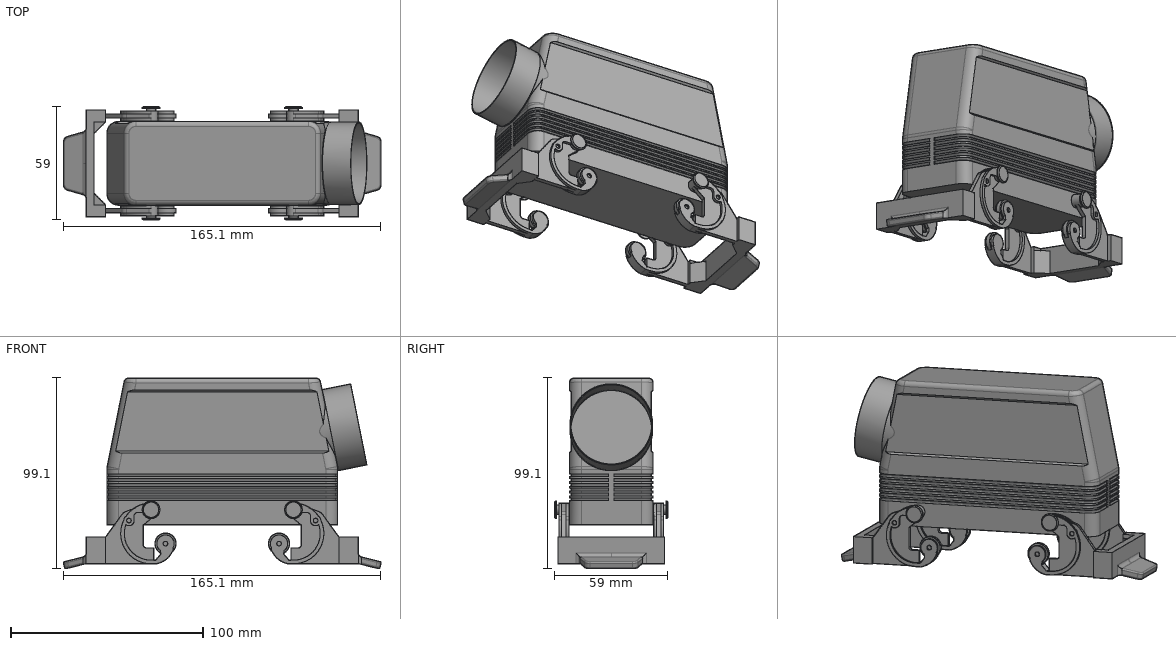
import cadquery as cq
import math


OVERALL_LENGTH = 165.09
OVERALL_WIDTH = 59.0
OVERALL_HEIGHT = 99.1

CLEARANCE = 1.0

HOOD_LENGTH = 120.0
HOOD_WIDTH = 43.6
HOOD_HEIGHT = 76.26
KNEE_HEIGHT = 29.5
END_TILT = 11.3
KNEE_RADIUS = 8.0
CORNER_RADIUS = 6.2
TOP_RADIUS = 2.6

RECESS_BOTTOM = 37.3
RECESS_TOP = 70.0
RECESS_DEPTH = 1.0

GROOVE_COUNT = 6
GROOVE_PITCH = 2.5
GROOVE_HEIGHT = 1.5
GROOVE_DEPTH = 1.0
GROOVE_FILLET = 0.5
GROOVE_START = 12.5
END_STRIP_WIDTH = 3.0

ENTRY_DIAMETER = 43.0
ENTRY_BORE = 42.0
ENTRY_BORE_DEPTH = 15.0
ENTRY_LENGTH = 25.0
ENTRY_STRAIGHT_LENGTH = 15.0
ENTRY_MOUTH_X = 70.95
ENTRY_MOUTH_Z = 52.15
ENTRY_TAPER = 7.0

STIRRUP_OUTER_X = 70.7
STIRRUP_INNER_X = 60.6
STIRRUP_WIDTH = 55.5
STIRRUP_TOP = -6.3
STIRRUP_BOTTOM = -20.3
CROSSBAR_THICKNESS = 4.1
ARM_WIDTH = 6.2
GUSSET_DROP = 2.0

LOWEST_Z = HOOD_HEIGHT - OVERALL_HEIGHT
HANDLE_TILT = 14.0
HANDLE_THICKNESS = 3.8
HANDLE_EDGE_RADIUS = 0.8
HANDLE_CORNER_RADIUS = 3.0
HANDLE_ROOT_HALF = 16.7
HANDLE_TIP_HALF = 13.4
HANDLE_ROOT_RADIUS = 2.2

LEVER_CENTER_Y = 24.6
LEVER_THICKNESS = 5.3
PLATE_THICKNESS = 2.3
PIN = (-37.0, 7.8)
HOOK_RADIUS = 15.8
HOOK_CENTER = (PIN[0], STIRRUP_BOTTOM + HOOK_RADIUS)
HOOK_BORE_RADIUS = 13.9
EAR_RADIUS = HOOK_CENTER[1] + HOOK_RADIUS - PIN[1]
ARM_DROP = 1.4
LUG = (-48.5, 2.2)
LUG_RADIUS = 2.7
LUG_FILLET = 1.8
HEAD = (-29.5, -9.8)
HEAD_RADIUS = 4.5
ROLLER_RADIUS = 5.5
NECK_INNER_X = -34.7
NECK_THROAT_LOW = (-32.0, -15.3)
NECK_THROAT_HIGH = (-32.2, -13.2)
NECK_OUTER_X = -34.0
NECK_OUTER_MIDDLE = (-28.9, -17.8)
NECK_OUTER_END = (-25.3, -12.4)
RIVET_HOLE_RADIUS = 1.2
RIVET_HOLE_DEPTH = 1.0
PLATE_SLOPE = 19.3
PLATE_UNDER_SLOPE = 40.0
PLATE_SHOULDER_X = -51.3
PLATE_SHOULDER_FILLET = 5.0
PLATE_SLOT_X = -41.0
PLATE_SLOT_Z = -12.0
PLATE_STEP_X = -35.6
PLATE_SLOT_FILLET = 1.6

PIN_RADIUS = 2.5
PIN_HEAD_RADIUS = 4.6
PIN_HEAD_THICKNESS = 1.0
PIN_HEAD_CHAMFER = 0.6


def slab(sketch_plane, thickness):
    """Extrude an XZ outline symmetrically about the plane Y = 0."""
    return sketch_plane.extrude(thickness).translate((0, thickness / 2, 0))


def both_sides(solid):
    """Join a solid to its mirror image on the other side of the XZ plane."""
    return solid.union(solid.mirror("XZ"))


def edges_near(x, z, reach=0.5):
    """Select the Y-parallel edges that run through one XZ position."""
    return cq.selectors.BoxSelector((x - reach, -reach, z - reach), (x + reach, reach, z + reach))


def make_hood():
    """Block with upper ends that lean inward, rounded corners and a rounded top."""
    half = HOOD_LENGTH / 2
    top_half = half - (HOOD_HEIGHT - KNEE_HEIGHT) * math.tan(math.radians(END_TILT))
    outline = [
        (-half, 0),
        (half, 0),
        (half, KNEE_HEIGHT),
        (top_half, HOOD_HEIGHT),
        (-top_half, HOOD_HEIGHT),
        (-half, KNEE_HEIGHT),
    ]
    hood = slab(cq.Workplane("XZ").polyline(outline).close(), HOOD_WIDTH)
    for side in (-half, half):
        hood = hood.edges(edges_near(side, KNEE_HEIGHT)).fillet(KNEE_RADIUS)
    hood = hood.edges("|Z").fillet(CORNER_RADIUS)
    return hood.faces(">Z").edges().fillet(TOP_RADIUS)


def recess_cutter():
    face_y = HOOD_WIDTH / 2
    floor_y = face_y - RECESS_DEPTH
    outline = [
        (-face_y, RECESS_BOTTOM),
        (-floor_y, RECESS_BOTTOM + RECESS_DEPTH),
        (-floor_y, RECESS_TOP - RECESS_DEPTH),
        (-face_y, RECESS_TOP),
    ]
    cutter = cq.Workplane("YZ").polyline(outline).close().extrude(HOOD_LENGTH / 2, both=True)
    return both_sides(cutter)


def groove_cutter(index):
    bottom = GROOVE_START + index * GROOVE_PITCH
    blank = cq.Workplane("XY").workplane(offset=bottom)
    outer = blank.rect(HOOD_LENGTH + 2 * CLEARANCE, HOOD_WIDTH + 2 * CLEARANCE).extrude(GROOVE_HEIGHT)
    core = (
        blank.rect(HOOD_LENGTH - 2 * GROOVE_DEPTH, HOOD_WIDTH - 2 * GROOVE_DEPTH)
        .extrude(GROOVE_HEIGHT)
        .edges("|Z")
        .fillet(CORNER_RADIUS - GROOVE_DEPTH)
    )
    end_strip = blank.rect(HOOD_LENGTH + 2 * CLEARANCE, END_STRIP_WIDTH).extrude(GROOVE_HEIGHT)
    ring = outer.cut(core)
    inner_loops = cq.selectors.BoxSelector(
        (-HOOD_LENGTH / 2, -HOOD_WIDTH / 2, bottom - CLEARANCE),
        (HOOD_LENGTH / 2, HOOD_WIDTH / 2, bottom + GROOVE_HEIGHT + CLEARANCE),
    )
    ring = ring.faces("|Z").edges(inner_loops).fillet(GROOVE_FILLET)
    return ring.cut(end_strip)


def add_cable_entry(hood):
    """Join a tilted tube that tapers slightly inside the hood, and bore its mouth."""
    radius = ENTRY_DIAMETER / 2
    taper_depth = (ENTRY_LENGTH - ENTRY_STRAIGHT_LENGTH) * math.tan(math.radians(ENTRY_TAPER))
    profile = [
        (0, 0),
        (radius, 0),
        (radius, ENTRY_STRAIGHT_LENGTH),
        (radius - taper_depth, ENTRY_LENGTH),
        (0, ENTRY_LENGTH),
    ]
    tilt = math.radians(END_TILT)
    mouth = (ENTRY_MOUTH_X, 0, ENTRY_MOUTH_Z)
    inward = (-math.cos(tilt), 0, -math.sin(tilt))
    square_to_axis = (-math.sin(tilt), 0, math.cos(tilt))
    plane = cq.Plane(origin=mouth, xDir=(0, 1, 0), normal=inward)
    side_plane = cq.Plane(origin=mouth, xDir=(0, 1, 0), normal=square_to_axis)
    tube = cq.Workplane(side_plane).polyline(profile).close().revolve(360, (0, 0), (0, 1))
    bore = cq.Workplane(plane).circle(ENTRY_BORE / 2).extrude(ENTRY_BORE_DEPTH)
    return hood.union(tube).cut(bore)


def make_stirrup():
    height = STIRRUP_TOP - STIRRUP_BOTTOM
    half = STIRRUP_WIDTH / 2
    base = cq.Workplane("XY").workplane(offset=STIRRUP_BOTTOM)
    inside_x = -STIRRUP_OUTER_X + CROSSBAR_THICKNESS
    inside_y = half - ARM_WIDTH
    gusset_leg = -STIRRUP_INNER_X - inside_x
    outline = [
        (-STIRRUP_OUTER_X, -half),
        (-STIRRUP_INNER_X, -half),
        (-STIRRUP_INNER_X, -inside_y),
        (inside_x, -inside_y),
        (inside_x, inside_y),
        (-STIRRUP_INNER_X, inside_y),
        (-STIRRUP_INNER_X, half),
        (-STIRRUP_OUTER_X, half),
    ]
    gusset_outline = [
        (inside_x, -inside_y),
        (-STIRRUP_INNER_X, -inside_y),
        (inside_x, -inside_y + gusset_leg),
    ]
    gusset = base.polyline(gusset_outline).close().extrude(height - GUSSET_DROP)
    return base.polyline(outline).close().extrude(height).union(both_sides(gusset))


def make_handle():
    """Tongue sloping down from the crossbar, long enough to reach the overall length."""
    tilt = math.radians(HANDLE_TILT)
    radius = HANDLE_EDGE_RADIUS
    core_half = HANDLE_THICKNESS / 2 - radius
    overhang = OVERALL_LENGTH / 2 - STIRRUP_OUTER_X
    straight = (overhang - radius - core_half * math.sin(tilt)) / math.cos(tilt)
    length = straight + radius
    middle_z = LOWEST_Z + radius + core_half * math.cos(tilt) + straight * math.sin(tilt)
    root = -CROSSBAR_THICKNESS / 2
    plane = cq.Plane(
        origin=(-STIRRUP_OUTER_X, 0, middle_z),
        xDir=(-math.cos(tilt), 0, -math.sin(tilt)),
        normal=(-math.sin(tilt), 0, math.cos(tilt)),
    )
    outline = [
        (root, -HANDLE_ROOT_HALF),
        (0, -HANDLE_ROOT_HALF),
        (length, -HANDLE_TIP_HALF),
        (length, HANDLE_TIP_HALF),
        (0, HANDLE_ROOT_HALF),
        (root, HANDLE_ROOT_HALF),
    ]
    tongue = cq.Workplane(plane).polyline(outline).close().extrude(HANDLE_THICKNESS / 2, both=True)
    tip_corners = cq.selectors.BoxSelector(
        (-OVERALL_LENGTH, -STIRRUP_WIDTH, LOWEST_Z - CLEARANCE),
        (-STIRRUP_OUTER_X - overhang / 2, STIRRUP_WIDTH, 0),
    )
    vertical = cq.selectors.ParallelDirSelector(plane.zDir)
    tongue = tongue.edges(tip_corners).edges(vertical).fillet(HANDLE_CORNER_RADIUS)
    return tongue.faces(vertical).edges().fillet(radius).union(make_handle_root(middle_z))


def make_handle_root(handle_z):
    """Collar with concave top and sides that blends the handle into the crossbar."""
    tilt = math.radians(HANDLE_TILT)
    radius = HANDLE_ROOT_RADIUS
    tangent = radius * math.tan((math.pi / 2 - tilt) / 2)
    depth = tangent * math.cos(tilt)
    top = handle_z + HANDLE_THICKNESS / 2 / math.cos(tilt) + tangent
    half_width = HANDLE_ROOT_HALF + tangent
    height = top - STIRRUP_BOTTOM
    axis_x = -STIRRUP_OUTER_X - radius
    collar = cq.Workplane("XY").box(depth, 2 * half_width, height)
    collar = collar.translate((-STIRRUP_OUTER_X - depth / 2, 0, STIRRUP_BOTTOM + height / 2))
    top_cove = cq.Workplane("XZ").center(axis_x, top).circle(radius)
    top_cove = top_cove.extrude(2 * half_width, both=True)
    side_cove = cq.Workplane("XY").center(axis_x, -half_width).circle(radius)
    side_cove = side_cove.extrude(-2 * STIRRUP_BOTTOM, both=True)
    return collar.cut(top_cove).cut(both_sides(side_cove))


def make_plate():
    """Thin side plate, with straight flanks tangent to the rounded ear around the pin."""
    slope = math.radians(PLATE_SLOPE)
    crest = (PIN[0] - EAR_RADIUS * math.sin(slope), PIN[1] + EAR_RADIUS * math.cos(slope))
    shoulder = (PLATE_SHOULDER_X, crest[1] - (crest[0] - PLATE_SHOULDER_X) * math.tan(slope))
    under = math.radians(PLATE_UNDER_SLOPE)
    under_x = PIN[0] + EAR_RADIUS * math.sin(under)
    under_z = PIN[1] - EAR_RADIUS * math.cos(under)
    slot_top = under_z - (under_x - PLATE_SLOT_X) * math.tan(under)
    outline = (
        cq.Workplane("XZ")
        .moveTo(-STIRRUP_INNER_X, STIRRUP_BOTTOM)
        .lineTo(-STIRRUP_INNER_X, STIRRUP_TOP)
        .lineTo(*shoulder)
        .lineTo(*crest)
        .threePointArc((PIN[0] + EAR_RADIUS, PIN[1]), (under_x, under_z))
        .lineTo(PLATE_SLOT_X, slot_top)
        .lineTo(PLATE_SLOT_X, PLATE_SLOT_Z)
        .lineTo(PLATE_STEP_X, PLATE_SLOT_Z)
        .lineTo(PLATE_STEP_X, STIRRUP_BOTTOM)
        .close()
    )
    plate = slab(outline, PLATE_THICKNESS)
    plate = plate.edges(edges_near(*shoulder)).fillet(PLATE_SHOULDER_FILLET)
    return plate.edges(edges_near(PLATE_SLOT_X, PLATE_SLOT_Z)).fillet(PLATE_SLOT_FILLET)


def disc(center, radius, thickness):
    return slab(cq.Workplane("XZ").center(*center).circle(radius), thickness)


def make_lever():
    """C-shaped hook that runs from the pin around to the roller head."""
    cx, cz = HOOK_CENTER
    full = disc(HOOK_CENTER, HOOK_RADIUS, LEVER_THICKNESS)
    ring = full.cut(disc(HOOK_CENTER, HOOK_BORE_RADIUS, LEVER_THICKNESS))
    left_half = cq.Workplane("XY").box(2 * HOOK_RADIUS, 2 * LEVER_THICKNESS, 4 * HOOK_RADIUS)
    left_half = left_half.translate((cx - HOOK_RADIUS, 0, cz))
    arm_z = PIN[1] - ARM_DROP
    lug_x = LUG[0] + LUG_RADIUS
    arm_outline = [
        (cx - HOOK_RADIUS, LUG[1]),
        (lug_x, LUG[1]),
        (lug_x, arm_z),
        (cx, arm_z),
        (cx, cz + HOOK_RADIUS),
        (cx - HOOK_RADIUS, cz + HOOK_RADIUS),
    ]
    arm = slab(cq.Workplane("XZ").polyline(arm_outline).close(), LEVER_THICKNESS)
    arm = arm.edges(edges_near(lug_x, arm_z)).fillet(LUG_FILLET).intersect(full)
    neck = slab(
        cq.Workplane("XZ")
        .moveTo(cx, cz - HOOK_RADIUS)
        .lineTo(cx, cz - HOOK_BORE_RADIUS)
        .lineTo(NECK_INNER_X, cz - HOOK_BORE_RADIUS)
        .lineTo(*NECK_THROAT_LOW)
        .lineTo(*NECK_THROAT_HIGH)
        .lineTo(*HEAD)
        .lineTo(*NECK_OUTER_END)
        .threePointArc(NECK_OUTER_MIDDLE, (NECK_OUTER_X, STIRRUP_BOTTOM))
        .close(),
        LEVER_THICKNESS,
    )
    lever = ring.intersect(left_half).union(arm).union(neck)
    for center, radius in ((LUG, LUG_RADIUS), (PIN, EAR_RADIUS), (HEAD, HEAD_RADIUS)):
        lever = lever.union(disc(center, radius, LEVER_THICKNESS))
    lever = lever.cut(fork_gap())
    return lever.union(disc(HEAD, ROLLER_RADIUS, PLATE_THICKNESS))


def fork_gap():
    """Space between the lever's two cheeks that the side plate fills."""
    left = PIN[0] - 2 * HOOK_RADIUS
    right = PIN[0] + 2 * HOOK_RADIUS
    top = PIN[1] + HOOK_RADIUS
    bottom = STIRRUP_BOTTOM - HOOK_RADIUS
    outline = [
        (left, bottom),
        (PLATE_STEP_X, bottom),
        (PLATE_STEP_X, 0),
        (right, 0),
        (right, top),
        (left, top),
    ]
    return slab(cq.Workplane("XZ").polyline(outline).close(), PLATE_THICKNESS)


def rivet_hole(center):
    outer_y = -LEVER_THICKNESS / 2
    hole = cq.Workplane("XZ", origin=(0, outer_y, 0)).center(*center)
    return hole.circle(RIVET_HOLE_RADIUS).extrude(-RIVET_HOLE_DEPTH)


def make_pin():
    inner_y = -HOOD_WIDTH / 2 + RECESS_DEPTH
    length = OVERALL_WIDTH / 2 + inner_y
    start = cq.Workplane("XZ", origin=(0, inner_y, 0)).center(*PIN)
    shank = start.circle(PIN_RADIUS).extrude(length)
    head = (
        cq.Workplane("XZ", origin=(0, -OVERALL_WIDTH / 2 + PIN_HEAD_THICKNESS, 0))
        .center(*PIN)
        .circle(PIN_HEAD_RADIUS)
        .extrude(PIN_HEAD_THICKNESS)
        .faces("<Y")
        .chamfer(PIN_HEAD_CHAMFER)
    )
    return shank.union(head)


def make_clip():
    lever = make_lever()
    for center in (LUG, HEAD):
        lever = lever.cut(rivet_hole(center))
    side = make_plate().union(lever)
    side = side.translate((0, -LEVER_CENTER_Y, 0)).union(make_pin())
    clip = make_stirrup().union(make_handle())
    return clip.union(both_sides(side))


hood = make_hood().cut(recess_cutter())
for groove in range(GROOVE_COUNT):
    hood = hood.cut(groove_cutter(groove))
hood = add_cable_entry(hood)

clip = make_clip()
result = hood.union(clip).union(clip.mirror("YZ"))